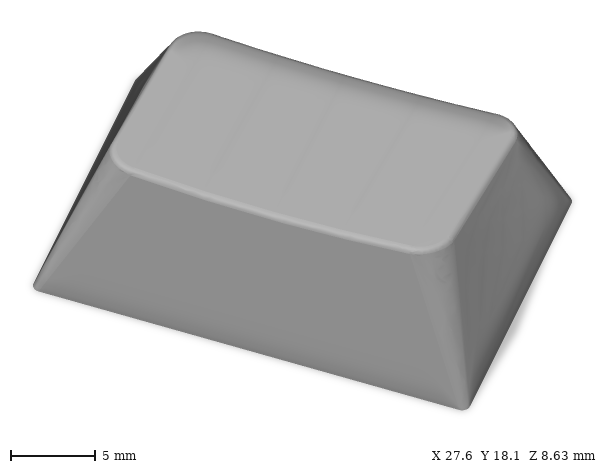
import cadquery as cq
import math

base_length = 27.62
base_depth = 18.1
base_corner_radius = 0.5

upper_length = 21.32
upper_depth = 14.25
upper_corner_radius = 2.2
upper_center_y = 1.85
upper_center_z = 7.73
tilt_angle = 10.9

dish_radius = 124.3
dish_bottom_depth = 0.75
dish_length = 55.25
rim_radius = 0.41


tilt = math.radians(tilt_angle)
upper_plane = cq.Plane(
    origin=(0, upper_center_y, upper_center_z),
    xDir=(1, 0, 0),
    normal=(0, math.sin(tilt), math.cos(tilt)),
)


def outline(length, depth, radius):
    """Rounded rectangle centred on its own plane."""
    return cq.Sketch().rect(length, depth).vertices().fillet(radius)


def make_body():
    """Straight walls joining the flat base to the tilted upper outline."""
    base = outline(base_length, base_depth, base_corner_radius)
    upper = outline(upper_length, upper_depth, upper_corner_radius)
    upper_in_place = upper.moved(upper_plane.location)
    return cq.Workplane("XY").placeSketch(base, upper_in_place).loft(ruled=True)


def make_dish():
    """Large cylinder running front to back along the tilted top."""
    axis_height = dish_radius - dish_bottom_depth
    along_top = upper_plane.yDir
    start = upper_plane.toWorldCoords((0, -dish_length / 2, axis_height))
    return cq.Workplane(cq.Solid.makeCylinder(dish_radius, dish_length, start, along_top))


body = make_body().cut(make_dish())
result = body.faces("%CYLINDER").edges().fillet(rim_radius)